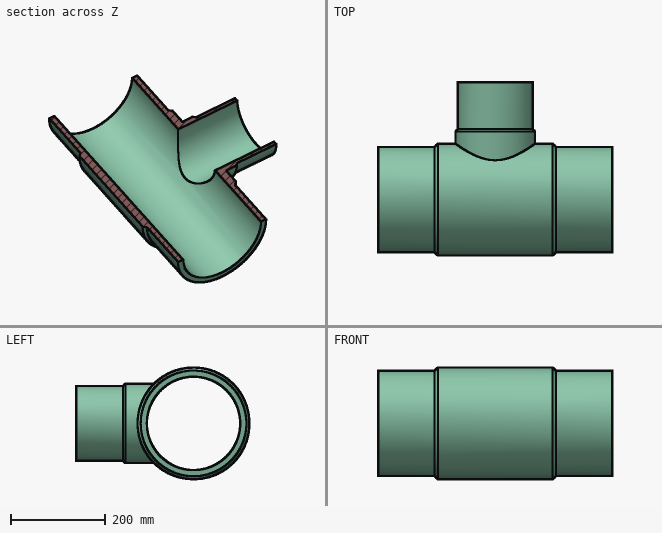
import cadquery as cq

run_length = 498.0
run_diameter = 225.0
run_wall = 13.4
run_spigot_length = 120.0

branch_reach = 250.0
branch_diameter = 160.0
branch_wall = 9.5
branch_spigot_length = 100.0

run_bore = run_diameter - 2 * run_wall
branch_bore = branch_diameter - 2 * branch_wall

body_length = run_length - 2 * run_spigot_length
body_thickening = run_wall / 2
body_diameter = run_diameter + 2 * body_thickening

collar_reach = branch_reach - branch_spigot_length
collar_thickening = branch_wall / 2
collar_diameter = branch_diameter + 2 * collar_thickening


def run_cylinder(diameter, length):
    """Cylinder along X, centred on the origin."""
    return cq.Workplane("YZ").circle(diameter / 2).extrude(length / 2, both=True)


def branch_cylinder(diameter, reach):
    """Cylinder from the run axis out to +Y."""
    return cq.Workplane("XZ").circle(diameter / 2).extrude(-reach)


def make_run():
    """Solid run pipe with its thickened, chamfered middle body."""
    pipe = run_cylinder(run_diameter, run_length)
    body = run_cylinder(body_diameter, body_length)
    body = body.faces("<X or >X").edges().chamfer(body_thickening)
    return pipe.union(body)


def make_branch():
    """Solid branch pipe with its thickened, chamfered root collar."""
    pipe = branch_cylinder(branch_diameter, branch_reach)
    collar = branch_cylinder(collar_diameter, collar_reach)
    collar = collar.faces(">Y").edges().chamfer(collar_thickening)
    return pipe.union(collar)


tee = make_run().union(make_branch())
tee = tee.cut(run_cylinder(run_bore, run_length))
result = tee.cut(branch_cylinder(branch_bore, branch_reach))